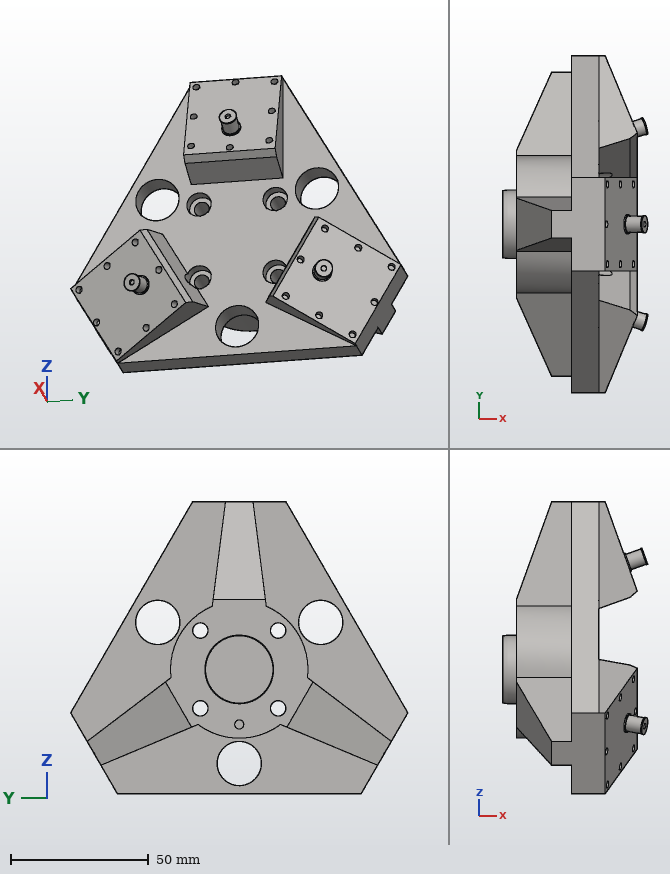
import math

import cadquery as cq

ARM_ANGLES = (0, 120, 240)

ARM_REACH = 61.0
ARM_WIDTH = 34.0
PLATE_FRONT_X = 20.0
PLATE_THICKNESS = 10.0
PLATE_REAR_X = PLATE_FRONT_X + PLATE_THICKNESS
WINDOW_DIAMETER = 16.0
WINDOW_RADIUS = 34.2

HUB_DIAMETER = 50.0
SPIGOT_DIAMETER = 25.0
SPIGOT_LENGTH = 5.0
SPIGOT_TIP_DIAMETER = 24.5
SPIGOT_TAPER_LENGTH = 1.9

BOLT_CIRCLE_DIAMETER = 40.0
BOLT_COUNT = 4
BOLT_FIRST_ANGLE = 45.0
BOLT_HOLE_DIAMETER = 5.5
BOLT_HEAD_DIAMETER = 9.0
BOLT_HEAD_DEPTH = 5.0
PIN_HOLE_DIAMETER = 3.3
PIN_HOLE_DEPTH = 6.0

RIB_ROOT_RADIUS = 25.5
RIB_ROOT_WIDTH = 19.0
RIB_TIP_WIDTH = 10.0
RIB_TIP_HEIGHT = 7.2

TILT = 19.75
BLOCK_END_HEIGHT = 2.3
FACE_CUT = 1.3
SIDE_CUT = 3.3
BLOCK_INNER_RADIUS = 22.1

SCREW_DIAMETER = 2.5
SCREW_DEPTH = 5.0
SIDE_SCREW_OFFSET = 14.5
SIDE_SCREW_DISTANCES = (2.5, 16.5, 30.5)
MIDDLE_SCREW_DISTANCES = (1.5, 32.5)

CONNECTOR_DISTANCE = 23.5
CONNECTOR_LENGTH = 6.88
CONNECTOR_DIAMETER = 6.0
COLLAR_DIAMETER = 7.0
COLLAR_LENGTH = 0.5
LIP_DIAMETER = 6.4
LIP_LENGTH = 0.5
SOCKET_DIAMETER = 2.0
SOCKET_DEPTH = 1.0


def disc(diameter, start_x, end_x, y=0.0, z=0.0):
    """Cylinder parallel to X."""
    plane = cq.Workplane("YZ", origin=(start_x, 0, 0))
    return plane.center(y, z).circle(diameter / 2).extrude(end_x - start_x)


def around_axis(body, angle):
    return body.rotate((0, 0, 0), (1, 0, 0), angle)


def make_plate():
    """Plate outlined by the three arm ends, joined by straight sides."""
    half_width = ARM_WIDTH / 2
    corners = []
    for angle in ARM_ANGLES:
        turn = math.radians(angle)
        for side in (half_width, -half_width):
            y = side * math.cos(turn) - ARM_REACH * math.sin(turn)
            z = side * math.sin(turn) + ARM_REACH * math.cos(turn)
            corners.append((y, z))
    plane = cq.Workplane("YZ", origin=(PLATE_FRONT_X, 0, 0))
    return plane.polyline(corners).close().extrude(PLATE_THICKNESS)


def make_spigot():
    taper_start_x = SPIGOT_TAPER_LENGTH - SPIGOT_LENGTH
    profile = [
        (0, 0),
        (0, SPIGOT_DIAMETER / 2),
        (taper_start_x, SPIGOT_DIAMETER / 2),
        (-SPIGOT_LENGTH, SPIGOT_TIP_DIAMETER / 2),
        (-SPIGOT_LENGTH, 0),
    ]
    outline = cq.Workplane("XY").polyline(profile).close()
    return outline.revolve(360, (0, 0, 0), (1, 0, 0))


def make_rib():
    """Outline tapering in width, cut down to a slope outside the root."""
    taper = (RIB_ROOT_WIDTH - RIB_TIP_WIDTH) / (ARM_REACH - RIB_ROOT_RADIUS)
    half_tip = RIB_TIP_WIDTH / 2
    half_axis = half_tip + taper * ARM_REACH / 2
    outline = [
        (-half_axis, 0),
        (half_axis, 0),
        (half_tip, ARM_REACH),
        (-half_tip, ARM_REACH),
    ]
    side_profile = [
        (0, 0),
        (0, RIB_ROOT_RADIUS),
        (PLATE_FRONT_X - RIB_TIP_HEIGHT, ARM_REACH),
        (PLATE_FRONT_X, ARM_REACH),
        (PLATE_FRONT_X, 0),
    ]
    flanks = cq.Workplane("YZ").polyline(outline).close().extrude(PLATE_FRONT_X)
    slope = cq.Workplane("XZ").polyline(side_profile).close().extrude(ARM_WIDTH / 2, both=True)
    return flanks.intersect(slope)


def face_plane():
    """Plane on the tilted face: origin at its outer edge, x running inwards."""
    tilt = math.radians(TILT)
    return cq.Plane(
        origin=(PLATE_REAR_X + BLOCK_END_HEIGHT, 0, ARM_REACH),
        xDir=(math.sin(tilt), 0, -math.cos(tilt)),
        normal=(math.cos(tilt), 0, math.sin(tilt)),
    )


def make_block():
    """Wedge whose rear face is tilted and whose inner side is square to it."""
    sine = math.sin(math.radians(TILT))
    cosine = math.cos(math.radians(TILT))
    end_x = PLATE_REAR_X + BLOCK_END_HEIGHT
    corner = (ARM_REACH - BLOCK_INNER_RADIUS) * cosine - BLOCK_END_HEIGHT * sine
    corner_x = end_x + corner * sine
    corner_z = ARM_REACH - corner * cosine
    face_end = (corner_x - FACE_CUT * sine, corner_z + FACE_CUT * cosine)
    inner_end = (corner_x - SIDE_CUT * cosine, corner_z - SIDE_CUT * sine)
    profile = [
        (PLATE_REAR_X, ARM_REACH),
        (end_x, ARM_REACH),
        face_end,
        inner_end,
        (PLATE_REAR_X, BLOCK_INNER_RADIUS),
    ]
    outline = cq.Workplane("XZ").polyline(profile).close()
    return outline.extrude(ARM_WIDTH / 2, both=True)


def cut_screw_holes(block):
    points = [(distance, 0) for distance in MIDDLE_SCREW_DISTANCES]
    for distance in SIDE_SCREW_DISTANCES:
        points.append((distance, SIDE_SCREW_OFFSET))
        points.append((distance, -SIDE_SCREW_OFFSET))
    holes = cq.Workplane(face_plane()).pushPoints(points)
    return block.cut(holes.circle(SCREW_DIAMETER / 2).extrude(-SCREW_DEPTH))


def make_connector():
    base = cq.Workplane(face_plane()).center(CONNECTOR_DISTANCE, 0)
    body = base.circle(CONNECTOR_DIAMETER / 2).extrude(CONNECTOR_LENGTH)
    collar = base.circle(COLLAR_DIAMETER / 2).extrude(COLLAR_LENGTH)
    tip = base.workplane(offset=CONNECTOR_LENGTH)
    lip = tip.circle(LIP_DIAMETER / 2).extrude(-LIP_LENGTH)
    socket = tip.circle(SOCKET_DIAMETER / 2).extrude(-SOCKET_DEPTH)
    return body.union(collar).union(lip).cut(socket)


def make_arm():
    block = cut_screw_holes(make_block())
    return make_rib().union(block).union(make_connector())


def cut_windows(body):
    """Round openings through the plate, opposite each arm."""
    window = disc(WINDOW_DIAMETER, PLATE_FRONT_X, PLATE_REAR_X, z=-WINDOW_RADIUS)
    for angle in ARM_ANGLES:
        body = body.cut(around_axis(window, angle))
    return body


def cut_hub_holes(body):
    """Bolt holes with head recesses from the rear, and a blind pin hole in front."""
    circle_radius = BOLT_CIRCLE_DIAMETER / 2
    head_seat_x = PLATE_REAR_X - BOLT_HEAD_DEPTH
    head_clearance_x = PLATE_REAR_X + ARM_REACH
    bolt = disc(BOLT_HOLE_DIAMETER, 0, PLATE_REAR_X, z=circle_radius)
    head = disc(BOLT_HEAD_DIAMETER, head_seat_x, head_clearance_x, z=circle_radius)
    for index in range(BOLT_COUNT):
        angle = BOLT_FIRST_ANGLE + index * 360 / BOLT_COUNT
        body = body.cut(around_axis(bolt.union(head), angle))
    return body.cut(disc(PIN_HOLE_DIAMETER, 0, PIN_HOLE_DEPTH, z=-circle_radius))


def make_part():
    body = make_plate()
    body = body.union(disc(HUB_DIAMETER, 0, PLATE_FRONT_X))
    body = body.union(make_spigot())
    arm = make_arm()
    for angle in ARM_ANGLES:
        body = body.union(around_axis(arm, angle))
    body = cut_windows(body)
    return cut_hub_holes(body)


result = make_part()